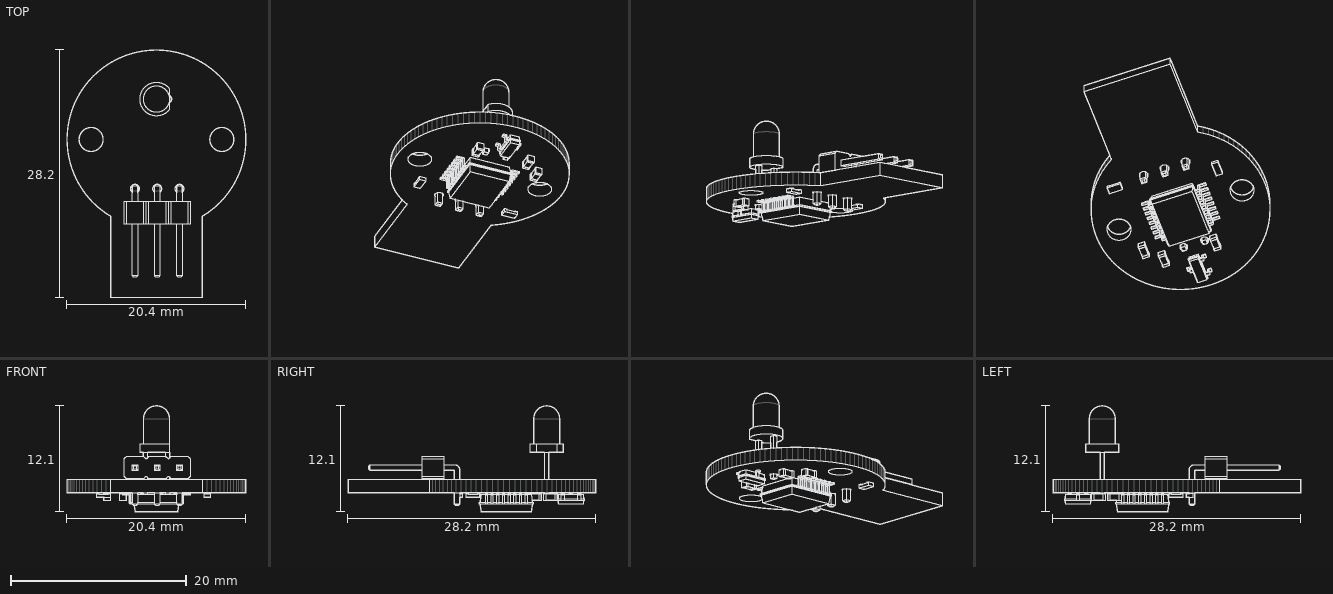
import cadquery as cq
import math


board_length = 28.2
board_width = 20.4
board_radius = board_width / 2
board_thickness = 1.52
board_facets = 83
tongue_width = 10.43
mount_hole_diameter = 2.7
mount_hole_spacing = 14.9
solder_gap = 0.08

led_y = 4.6
led_diameter = 3.0
led_flange_diameter = 3.8
led_flange_height = 1.0
led_standoff = 3.07
led_dome_start = 6.9
led_lead_size = 0.5
led_lead_pitch = 2.55
led_lead_tail = 0.42
led_hole_diameter = 0.9

header_x = 0.08
pin_count = 3
pin_pitch = 2.55
pin_size = 0.65
pin_y = -5.6
pin_tip_y = -15.68
pin_height = 1.35
pin_tail = 1.45
pin_tip_chamfer = 0.17
pin_bend_radius = 0.6
pin_hole_diameter = 1.0
header_back_y = -7.08
header_chamfer = 0.28

lead_thickness = 0.17
lead_bend_radius = 0.15
package_standoff = 0.17

chip_width = 5.3
chip_length = 6.18
chip_ledge = 0.08
chip_taper = 0.15
chip_depth = 2.17
chip_seam_depth = 1.18
chip_leads_per_side = 8
chip_lead_pitch = 0.65
chip_lead_width = 0.25
chip_lead_span = 7.78
chip_foot_length = 0.95

transistor_x = -0.54
transistor_y = 7.35
transistor_width = 1.3
transistor_length = 3.05
transistor_ledge = 0.05
transistor_taper = 0.03
transistor_depth = 1.27
transistor_seam_depth = 0.75
transistor_lead_width = 0.4
transistor_lead_span = 2.6
transistor_foot_length = 0.45
transistor_lead_offset = 0.95

passive_length = 1.6
passive_width = 0.8
terminal_length = 0.28
capacitor_height = 0.8
capacitor_body_inset = 0.03
resistor_height = 0.42
resistor_undercut = 0.08
capacitor_places = [(-3.84, 5.02), (2.4, 5.02), (-5.6, 3.2)]
resistor_places = [(5.78, -3.8, 90), (-6.03, -5.35, 0)]

led_lead_xs = [-led_lead_pitch / 2, led_lead_pitch / 2]
pin_xs = [header_x + (i - (pin_count - 1) / 2) * pin_pitch for i in range(pin_count)]


def block(x_size, y_size, z_low, z_high, x=0.0, y=0.0):
    """Upright box centred on (x, y) between two heights."""
    size_z = z_high - z_low
    return cq.Workplane("XY").box(x_size, y_size, size_z).translate((x, y, z_low + size_z / 2))


def make_board():
    """Faceted disc with a straight tongue, drilled for the mounts, diode and header."""
    corner_angle = math.asin(tongue_width / 2 / board_radius)
    start_angle = -math.pi / 2 + corner_angle
    step = (2 * math.pi - 2 * corner_angle) / board_facets
    rim = [
        (
            board_radius * math.cos(start_angle + i * step),
            board_radius * math.sin(start_angle + i * step),
        )
        for i in range(board_facets + 1)
    ]
    tongue_end_y = max(y for _, y in rim) - board_length
    tongue_end = [(-tongue_width / 2, tongue_end_y), (tongue_width / 2, tongue_end_y)]
    plate = cq.Workplane("XY").polyline(rim + tongue_end).close().extrude(board_thickness)

    mount_xs = [-mount_hole_spacing / 2, mount_hole_spacing / 2]
    drill_groups = [
        ([(x, 0) for x in mount_xs], mount_hole_diameter),
        ([(x, led_y) for x in led_lead_xs], led_hole_diameter),
        ([(x, pin_y) for x in pin_xs], pin_hole_diameter),
    ]
    for points, diameter in drill_groups:
        drills = cq.Workplane("XY").pushPoints(points).circle(diameter / 2).extrude(board_thickness)
        plate = plate.cut(drills)
    return plate


def make_led():
    """Domed diode with a flange cut flat on its +X side and two square leads."""
    radius = led_diameter / 2
    flange_radius = led_flange_diameter / 2
    base_z = board_thickness + led_standoff
    dome_z = board_thickness + led_dome_start
    dome_rise = radius * math.sqrt(0.5)
    lens = (
        cq.Workplane("XZ")
        .moveTo(0, base_z)
        .lineTo(radius, base_z)
        .lineTo(radius, dome_z)
        .threePointArc((dome_rise, dome_z + dome_rise), (0, dome_z + radius))
        .close()
        .revolve(360, (0, 0), (0, 1))
    )
    flange = cq.Workplane("XY").workplane(offset=base_z).circle(flange_radius).extrude(led_flange_height)
    flat_side = block(
        led_flange_diameter, led_flange_diameter, base_z, base_z + led_flange_height, radius + flange_radius
    )
    led = lens.union(flange.cut(flat_side))
    for x in led_lead_xs:
        led = led.union(block(led_lead_size, led_lead_size, -led_lead_tail, base_z, x))
    return led.translate((0, led_y, 0))


def make_header():
    """Row of chamfered housing cells carrying right-angle square pins."""
    housing_z = board_thickness + solder_gap
    cell = (
        block(pin_pitch, pin_pitch, housing_z, housing_z + pin_pitch, 0, header_back_y - pin_pitch / 2)
        .edges("|Y")
        .chamfer(header_chamfer)
    )
    arm_top = board_thickness + pin_height + pin_size / 2
    back_y = pin_y + pin_size / 2
    upright = block(pin_size, pin_size, -pin_tail, arm_top, 0, pin_y)
    upright = upright.faces("<Z").chamfer(pin_tip_chamfer)
    arm = block(pin_size, back_y - pin_tip_y, arm_top - pin_size, arm_top, 0, (back_y + pin_tip_y) / 2)
    arm = arm.faces("<Y").chamfer(pin_tip_chamfer)
    pin = upright.union(arm).edges(cq.selectors.NearestToPointSelector((0, back_y, arm_top)))
    pin = pin.fillet(pin_bend_radius)
    cell = cell.union(pin)
    header = cell.translate((pin_xs[0], 0, 0))
    for x in pin_xs[1:]:
        header = header.union(cell.translate((x, 0, 0)))
    return header


def package_body(width, length, depth, seam_depth, ledge, taper):
    """Moulded body hanging below the board, stepped in above and below its lead seam."""
    seam_top = -seam_depth + lead_thickness / 2
    seam_bottom = seam_top - lead_thickness
    body = block(width, length, seam_bottom, seam_top)
    root_width = width - 2 * ledge
    root_length = length - 2 * ledge
    for seam_z, end_z in [(seam_top, -package_standoff), (seam_bottom, -depth)]:
        half = (
            cq.Workplane("XY")
            .workplane(offset=seam_z)
            .rect(root_width, root_length)
            .workplane(offset=end_z - seam_z)
            .rect(root_width - 2 * taper, root_length - 2 * taper)
            .loft(ruled=True)
        )
        body = body.union(half)
    return body


def gull_lead(span, foot_length, seam_depth, width, inner_x):
    """Bent strip on the +X side, from the body seam to a foot under the board."""
    foot_z = -solder_gap
    tip_x = span / 2
    shank_x = tip_x - foot_length
    seam_bottom = -seam_depth - lead_thickness / 2
    outline = [
        (tip_x, foot_z),
        (shank_x, foot_z),
        (shank_x, seam_bottom + lead_thickness),
        (inner_x, seam_bottom + lead_thickness),
        (inner_x, seam_bottom),
        (shank_x + lead_thickness, seam_bottom),
        (shank_x + lead_thickness, foot_z - lead_thickness),
        (tip_x, foot_z - lead_thickness),
    ]
    strip = cq.Workplane("XZ").polyline(outline).close().extrude(width / 2, both=True)
    outer_bends = [(shank_x, 0, foot_z), (shank_x + lead_thickness, 0, seam_bottom)]
    for bend in outer_bends:
        strip = strip.edges(cq.selectors.NearestToPointSelector(bend)).fillet(lead_bend_radius)
    return strip


def make_chip():
    """Sixteen-lead package with a row of leads along each long side."""
    chip = package_body(
        chip_width, chip_length, chip_depth, chip_seam_depth, chip_ledge, chip_taper
    )
    lead = gull_lead(
        chip_lead_span, chip_foot_length, chip_seam_depth, chip_lead_width, chip_width / 2 - chip_ledge
    )
    for i in range(chip_leads_per_side):
        y = (i - (chip_leads_per_side - 1) / 2) * chip_lead_pitch
        placed = lead.translate((0, y, 0))
        chip = chip.union(placed).union(placed.mirror("YZ"))
    return chip


def make_transistor():
    """Three-lead package with one lead on the -X side and two on the +X side."""
    transistor = package_body(
        transistor_width,
        transistor_length,
        transistor_depth,
        transistor_seam_depth,
        transistor_ledge,
        transistor_taper,
    )
    lead = gull_lead(
        transistor_lead_span,
        transistor_foot_length,
        transistor_seam_depth,
        transistor_lead_width,
        transistor_width / 2 - transistor_ledge,
    )
    transistor = transistor.union(lead.mirror("YZ"))
    for y in (-transistor_lead_offset, transistor_lead_offset):
        transistor = transistor.union(lead.translate((0, y, 0)))
    return transistor.translate((transistor_x, transistor_y, 0))


def make_capacitor(x, y):
    """Capacitor lying along Y, with end terminals slightly proud of its body."""
    top = -solder_gap
    bottom = top - capacitor_height
    inset = capacitor_body_inset
    capacitor = block(
        passive_width - 2 * inset, passive_length - 2 * terminal_length, bottom + inset, top - inset
    )
    terminal_y = (passive_length - terminal_length) / 2
    for end_y in (-terminal_y, terminal_y):
        capacitor = capacitor.union(block(passive_width, terminal_length, bottom, top, 0, end_y))
    return capacitor.translate((x, y, 0))


def make_resistor(x, y, angle):
    """Flat resistor raised off the board on its two end terminals."""
    top = -solder_gap
    resistor = block(passive_length, passive_width, top - resistor_height, top)
    undercut = block(passive_length - 2 * terminal_length, passive_width, top - resistor_undercut, top)
    return resistor.cut(undercut).rotate((0, 0, 0), (0, 0, 1), angle).translate((x, y, 0))


board = make_board()
led = make_led()
header = make_header()
chip = make_chip()
transistor = make_transistor()
capacitors = [make_capacitor(x, y) for x, y in capacitor_places]
resistors = [make_resistor(x, y, angle) for x, y, angle in resistor_places]

result = cq.Compound.makeCompound(
    [
        board.val(),
        led.val(),
        header.val(),
        chip.val(),
        transistor.val(),
        *[capacitor.val() for capacitor in capacitors],
        *[resistor.val() for resistor in resistors],
    ]
)